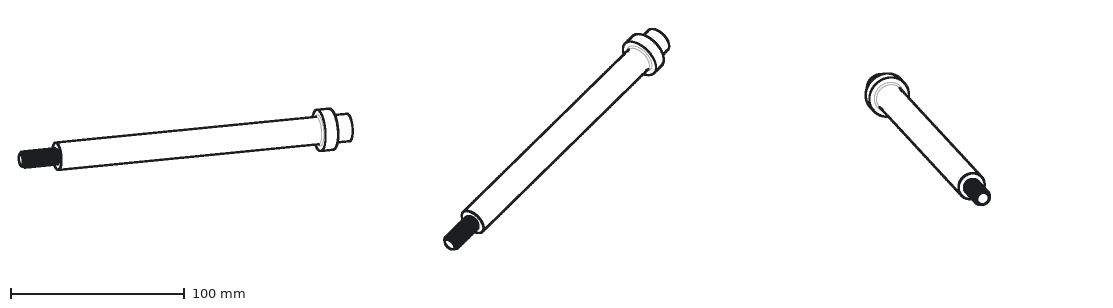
import cadquery as cq
length = 200.0
stud_tip = -length / 2
back_end = length / 2

rod_radius = 8.0
collar_radius = 12.0
collar_width = 8.0
collar_fillet = 1.0
collar_back_chamfer = 0.5
edge_chamfer = 0.2

end_piece_length = 10.0
collar_back = back_end - end_piece_length
collar_front = collar_back - collar_width

stud_length = 22.0
shoulder = stud_tip + stud_length
nose_radius = 4.0
nose_length = 1.2
nose_chamfer = 0.5
thread_start = stud_tip + nose_length
crest_radius = 4.8
root_radius = 4.1
thread_pitch = 1.5
thread_runout = 1.0
crest_width = 0.2
root_width = 0.2


def turn(half_profile):
    """Close a half profile that starts and ends on the Y axis and revolve it about that axis."""
    return half_profile.close().revolve(360, (0, 0, 0), (0, 1, 0))


def make_rod_body():
    """Rod with collar, without its stud."""
    return turn(
        cq.Workplane("XY")
        .moveTo(0, shoulder)
        .lineTo(rod_radius - edge_chamfer, shoulder)
        .lineTo(rod_radius, shoulder + edge_chamfer)
        .lineTo(rod_radius, collar_front - collar_fillet)
        .radiusArc((rod_radius + collar_fillet, collar_front), collar_fillet)
        .lineTo(collar_radius, collar_front)
        .lineTo(collar_radius, collar_back - collar_back_chamfer)
        .lineTo(collar_radius - collar_back_chamfer, collar_back)
        .lineTo(0, collar_back)
    )


def make_plain_stud():
    """Stud at crest diameter, with a thinner chamfered nose and a root buried in the rod."""
    buried_end = shoulder + thread_runout + thread_pitch
    return turn(
        cq.Workplane("XY")
        .moveTo(0, stud_tip)
        .lineTo(nose_radius - nose_chamfer, stud_tip)
        .lineTo(nose_radius, stud_tip + nose_chamfer)
        .lineTo(nose_radius, thread_start)
        .lineTo(crest_radius, thread_start)
        .lineTo(crest_radius, buried_end)
        .lineTo(0, buried_end)
    )


def make_thread_groove():
    """Helical groove between the thread crests, running out past the shoulder."""
    overshoot = 0.08
    root_half = root_width / 2
    crest_half = (thread_pitch - crest_width) / 2
    flank_slope = (crest_half - root_half) / (crest_radius - root_radius)
    mouth_half = crest_half + flank_slope * overshoot
    mouth_radius = crest_radius + overshoot

    helix_start = thread_start - thread_pitch
    helix_height = shoulder + thread_runout - helix_start
    helix = cq.Wire.makeHelix(thread_pitch, helix_height, root_radius)
    groove = (
        cq.Workplane("XZ")
        .moveTo(root_radius, -root_half)
        .lineTo(mouth_radius, -mouth_half)
        .lineTo(mouth_radius, mouth_half)
        .lineTo(root_radius, root_half)
        .close()
        .sweep(cq.Workplane(helix), isFrenet=True)
    )
    return groove.rotate((0, 0, 0), (1, 0, 0), -90).translate((0, helix_start, 0))


def make_rod():
    """Rod, collar and threaded stud in one piece; the rod fills the groove beyond the shoulder."""
    threaded_stud = make_plain_stud().cut(make_thread_groove())
    return make_rod_body().union(threaded_stud).solids()


def make_end_piece():
    """Short cylinder on the back face of the collar, chamfered where it meets that face."""
    return turn(
        cq.Workplane("XY")
        .moveTo(0, collar_back)
        .lineTo(rod_radius - edge_chamfer, collar_back)
        .lineTo(rod_radius, collar_back + edge_chamfer)
        .lineTo(rod_radius, back_end)
        .lineTo(0, back_end)
    )


rod = make_rod()
end_piece = make_end_piece()

result = cq.Compound.makeCompound([rod.val(), end_piece.val()])